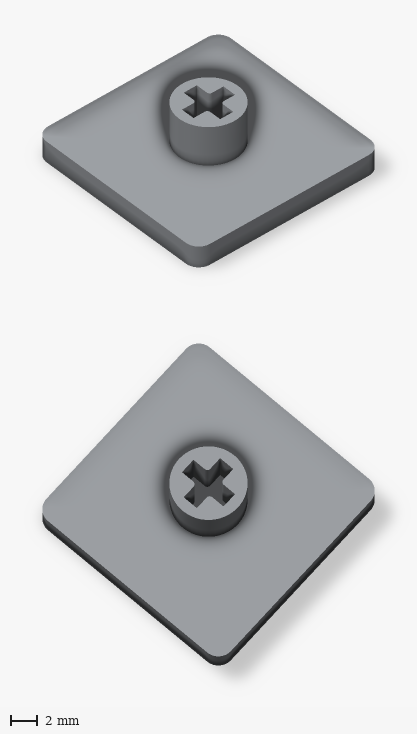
import cadquery as cq

plate_side = 18.2
plate_thickness = 2.0
corner_radius = 1.25

total_height = 5.7
post_diameter = 5.8
post_height = total_height - plate_thickness

cross_span = 4.1
cross_arm_width = 1.3
cross_inner_radius = 0.3
socket_depth = post_height


def make_plate():
    """Square plate with rounded vertical corners, resting on Z = 0."""
    plate = cq.Workplane("XY").rect(plate_side, plate_side).extrude(plate_thickness)
    return plate.edges("|Z").fillet(corner_radius)


def make_post():
    """Round post standing on the centre of the plate."""
    base = cq.Workplane("XY").workplane(offset=plate_thickness)
    return base.circle(post_diameter / 2).extrude(post_height)


def make_socket():
    """Cross-shaped cutter with its four inner corners rounded."""
    floor = cq.Workplane("XY").workplane(offset=total_height - socket_depth)
    along_x = floor.rect(cross_span, cross_arm_width).extrude(socket_depth)
    along_y = floor.rect(cross_arm_width, cross_span).extrude(socket_depth)
    half_box = cross_arm_width
    inner_corners = cq.selectors.BoxSelector(
        (-half_box, -half_box, 0), (half_box, half_box, total_height)
    )
    cross = along_x.union(along_y)
    return cross.edges("|Z").edges(inner_corners).fillet(cross_inner_radius)


result = make_plate().union(make_post()).cut(make_socket())